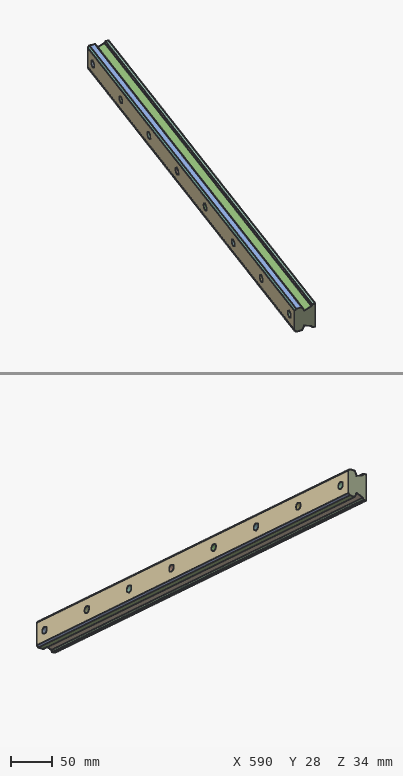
import cadquery as cq

length = 590.0
height = 28.0
width = 34.0

base_chamfer = 2.5
base_flank_end = 10.0
valley_height = 13.0
valley_depth = 6.0
groove_rim_height = 22.5
groove_rim_depth = 2.5
head_flank_start = 23.5

hole_count = 8
hole_diameter = 9.0
end_margin = 15.0
hole_pitch = (length - 2 * end_margin) / (hole_count - 1)

half_width = width / 2


def make_rail():
    """Extrude the double-grooved section along X, centred in X and Z."""
    upper_side = [
        (0, half_width - base_chamfer),
        (base_chamfer, half_width),
        (base_flank_end, half_width),
        (valley_height, half_width - valley_depth),
        (groove_rim_height, half_width - groove_rim_depth),
        (head_flank_start, half_width),
        (height, half_width),
    ]
    lower_side = [(y, -z) for y, z in reversed(upper_side)]
    section = cq.Workplane("YZ").polyline(upper_side + lower_side).close()
    return section.extrude(length / 2, both=True)


def make_holes():
    """Row of plain mounting holes running through the rail along Y."""
    row = cq.Workplane("XZ").rarray(hole_pitch, 6, hole_count, 1)
    return row.circle(hole_diameter / 2).extrude(-height)


result = make_rail().cut(make_holes())